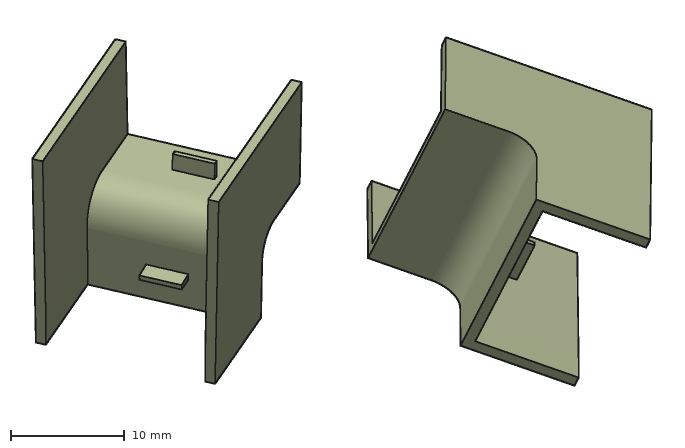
import cadquery as cq
import math

leg_length = 19.7
top_width = 17.7
draft_slope = math.tan(math.radians(1.0))

plate_thickness = 1.0
straight_height = 3.03
outer_top = top_width / 2
outer_bottom = outer_top - leg_length * draft_slope
inner_top = outer_top - plate_thickness
inner_bottom = inner_top - (leg_length - straight_height) * draft_slope

wall_outer = 9.8
wall_thickness = 1.0
wall_inner = wall_outer - wall_thickness
outer_bend_radius = 3.68
inner_bend_radius = outer_bend_radius - wall_thickness

tab_width = 4.0
tab_height = 1.62
tab_offset = 3.03
tab_root_thickness = 0.6
tab_tip_thickness = 0.47


def corner_block(reach, bend_radius):
    """Full-width block in the lower back corner, with its upper front edge rounded."""
    return (
        cq.Workplane("XY")
        .box(top_width, reach, reach, centered=(True, False, False))
        .translate((0, -reach, 0))
        .edges("<Y and >Z")
        .fillet(bend_radius)
    )


def drafted_prism(half_profile):
    """Run a front profile, given by its right half from foot to top, along the whole depth."""
    return (
        cq.Workplane("XZ")
        .polyline(half_profile)
        .lineTo(0, leg_length)
        .lineTo(0, 0)
        .close()
        .mirrorY()
        .extrude(leg_length)
    )


def tab_on_top():
    """Tab standing on the upper leg, with its front face sloping back to the tip."""
    tip = wall_outer + tab_height
    root = wall_outer - wall_thickness / 2
    return (
        cq.Workplane("YZ")
        .moveTo(-tab_offset, root)
        .lineTo(-tab_offset, tip)
        .lineTo(-tab_offset - tab_tip_thickness, tip)
        .lineTo(-tab_offset - tab_root_thickness, wall_outer)
        .lineTo(-tab_offset - tab_root_thickness, root)
        .close()
        .extrude(tab_width / 2, both=True)
    )


def swap_legs(shape):
    """Mirror a shape in the diagonal plane y = -z, taking one leg onto the other."""
    return shape.mirror("XY").rotate((0, 0, 0), (1, 0, 0), -90)


outer_profile = [(0, 0), (outer_bottom, 0), (outer_top, leg_length)]
body = drafted_prism(outer_profile).cut(corner_block(wall_inner, inner_bend_radius))

inner_profile = [
    (0, 0),
    (inner_bottom, 0),
    (inner_bottom, straight_height),
    (inner_top, leg_length),
]
channel = drafted_prism(inner_profile).cut(corner_block(wall_outer, outer_bend_radius))

top_tab = tab_on_top()
result = body.cut(channel).union(top_tab).union(swap_legs(top_tab))